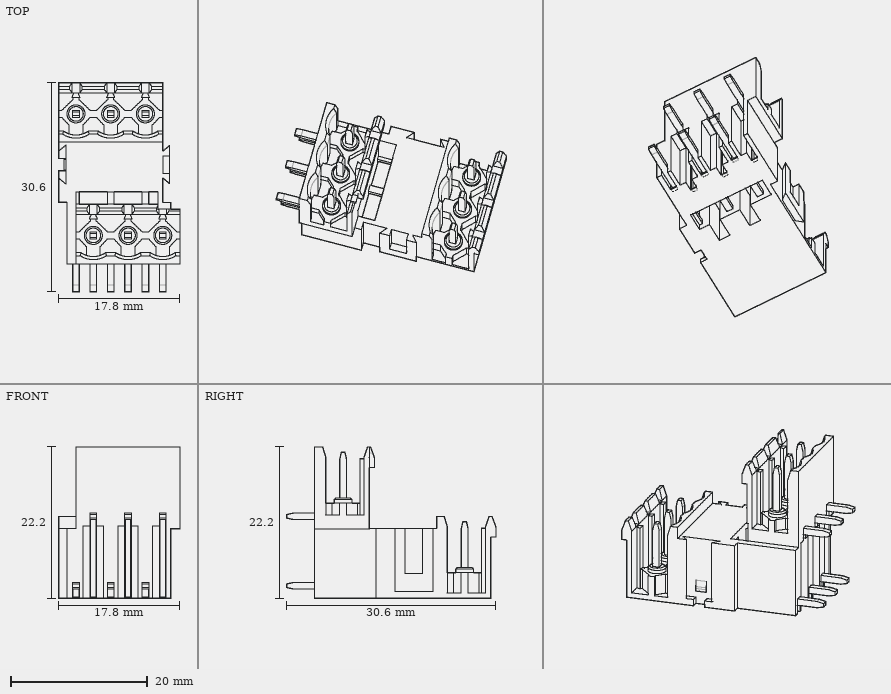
import cadquery as cq


POLES = 3
PITCH = 5.08
HALF_PITCH = PITCH / 2
HEADER_LENGTH = POLES * PITCH
LEVEL_RISE = 2 * PITCH
LEVEL_SETBACK = 3.5 * PITCH
UPPER_X = HALF_PITCH

HEADER_TOP = 12.0
LOWER_FLOOR_Z = 0.8
UPPER_FLOOR_Z = 2.06
BLOCK_TOP = 3.78
BEVEL_Z = 10.47
FRONT_WALL = 1.7
LOWER_FRONT_Y = 0.12
FRONT_LAND = 1.24
REAR_WALL_INNER = 7.25
REAR_WALL_OUTER = 8.05
LATCH_TIP = 8.81
LATCH_BOTTOM = 8.97
LATCH_PEAK = (7.78, 8.24)
PIN_Y = 4.22

SCALLOP_RADIUS = 3.1
SCALLOP_TOP_RADIUS = 3.55
NOTCH_BOTTOM_HALF = 0.56
NOTCH_TOP_HALF = 0.91
RIB_TOP = 10.29
RIB_ROOT_HALF = 0.32
RIB_TIP_HALF = 0.58
RIB_TIP_Y = 6.65
STEM_HALF = 0.42
STEM_END = 2.12
NECK_HALF = 0.5
DIAMOND_HALF = 2.09
FRONT_STEM_HALF = 1.0
FRONT_STEM_START = 1.65
COLLAR_RADIUS = 1.32
COLLAR_TOP = 4.54
COLLAR_CHAMFER = 0.25

PIN_SIZE = 1.0
PIN_TIP_SIZE = 0.55
PIN_TAPER = 1.0
PIN_TOP = 11.25
TAIL_Z = 1.85
TAIL_LENGTH = 4.04

DECK_Z = 10.25
BODY_SHIFT = 1.22
BODY_STEP_Y = 9.06
BODY_RIGHT = 16.42

WELL_FRONT = 7.85
WELL_REAR = 10.57
WELL_TOP = 12.95
WELL_RIGHT = 14.53
UNDERCUT_TOP = 9.3
UNDERCUT_WIDTH = 1.76
UNDERCUT_DEPTH = 3.0

SLOT_WIDTH = 2.95
SLOT_DEPTH = 2.75
SLOT_TOP = 10.57
UPPER_GROOVE_DEPTH = 4.2
LOWER_GROOVE_DEPTH = 2.75
UPPER_RECESS_WIDTH = 0.78
LOWER_RECESS_WIDTH = 0.94
RECESS_DEPTH = 0.5
RECESS_FLOOR = 0.17

DOVETAIL_Y = 14.58
DOVETAIL_DEPTH = 1.06
DOVETAIL_MOUTH_HALF = 1.96
DOVETAIL_INNER_HALF = 2.85
TENON_LENGTH = 0.99
DOVETAIL_FLOOR = 1.0
DRAIN_WIDTH = 1.74
BUMP_WIDTH = 1.62
BUMP_HEIGHT = 0.28
BUMP_RAMP_HEIGHT = 0.26
BUMP_BOTTOM = 2.05
BUMP_CREST = 2.46
BUMP_RAMP_FOOT = 2.76
BUMP_RAMP_TOP = 3.66
TENON_SLOT_WIDTH = 2.56
TENON_SLOT_FLOOR = BUMP_RAMP_TOP


def box(x0, x1, y0, y1, z0, z1):
    """Block between the given limits."""
    return cq.Workplane("XY").box(x1 - x0, y1 - y0, z1 - z0, centered=False).translate((x0, y0, z0))


def along_x(points, x0, x1):
    """Extrude a (Y, Z) outline from x0 to x1."""
    return cq.Workplane("YZ", origin=(x0, 0, 0)).polyline(points).close().extrude(x1 - x0)


def upright(points, z0, z1):
    """Extrude an (X, Y) outline from z0 to z1."""
    return cq.Workplane("XY", origin=(0, 0, z0)).polyline(points).close().extrude(z1 - z0)


def mirrored(points):
    """Complete an outline given on its +X side by its mirror image in X."""
    return points + [(-x, y) for x, y in reversed(points)]


def pole_positions(start_x):
    """Pole X positions of a header whose left end is at start_x."""
    return [start_x + HALF_PITCH + i * PITCH for i in range(POLES)]


def header_shell(front_y, floor_z):
    """Trough with a bevelled front wall and a hooked rear latch wall."""
    return along_x(
        [
            (front_y, 0),
            (REAR_WALL_OUTER, 0),
            (REAR_WALL_OUTER, LATCH_BOTTOM),
            (LATCH_TIP, LATCH_BOTTOM),
            (LATCH_TIP, BEVEL_Z),
            (LATCH_PEAK[1], HEADER_TOP),
            (LATCH_PEAK[0], HEADER_TOP),
            (REAR_WALL_INNER, BEVEL_Z),
            (REAR_WALL_INNER, floor_z),
            (FRONT_WALL, floor_z),
            (FRONT_WALL, BEVEL_Z),
            (FRONT_LAND, HEADER_TOP),
            (front_y, HEADER_TOP),
        ],
        0,
        HEADER_LENGTH,
    )


def scallop(floor_z):
    """Round recess around a pole that widens along the wall bevel."""
    profile = [
        (0, floor_z),
        (SCALLOP_RADIUS, floor_z),
        (SCALLOP_RADIUS, BEVEL_Z),
        (SCALLOP_TOP_RADIUS, HEADER_TOP),
        (0, HEADER_TOP),
    ]
    recess = cq.Workplane("XZ").polyline(profile).close().revolve(360, (0, 0, 0), (0, 1, 0))
    front_half = box(-PITCH, PITCH, -PIN_Y, 0, 0, HEADER_TOP)
    return recess.intersect(front_half).translate((0, PIN_Y, 0))


def latch_notch():
    """Flared gap in the latch crest above a pole."""
    outline = mirrored([(NOTCH_BOTTOM_HALF, BEVEL_Z), (NOTCH_TOP_HALF, HEADER_TOP)])
    length = LATCH_TIP - REAR_WALL_INNER
    return cq.Workplane("XZ", origin=(0, LATCH_TIP, 0)).polyline(outline).close().extrude(length)


def pole_seat(floor_z):
    """Diamond-shaped pedestal with webs to its neighbours and a collar."""
    outline = mirrored(
        [
            (FRONT_STEM_HALF, -SCALLOP_RADIUS),
            (FRONT_STEM_HALF, -FRONT_STEM_START),
            (DIAMOND_HALF, -NECK_HALF),
            (HALF_PITCH, -NECK_HALF),
            (HALF_PITCH, NECK_HALF),
            (DIAMOND_HALF, NECK_HALF),
            (STEM_HALF, STEM_END),
            (STEM_HALF, RIB_TIP_Y - PIN_Y),
        ]
    )
    seat = upright(outline, floor_z, BLOCK_TOP)
    collar = (
        cq.Workplane("XY", origin=(0, 0, BLOCK_TOP))
        .circle(COLLAR_RADIUS)
        .extrude(COLLAR_TOP - BLOCK_TOP)
        .faces(">Z")
        .chamfer(COLLAR_CHAMFER)
    )
    return seat.union(collar).translate((0, PIN_Y, 0))


def rear_rib(floor_z):
    """Flared keying rib on the inside of the latch wall."""
    outline = mirrored([(RIB_ROOT_HALF, REAR_WALL_INNER), (RIB_TIP_HALF, RIB_TIP_Y)])
    return upright(outline, floor_z, RIB_TOP)


def pin(tail_end):
    """Right-angled pin; both ends taper in thickness only."""
    half = PIN_SIZE / 2
    tip_half = PIN_TIP_SIZE / 2
    return along_x(
        [
            (PIN_Y + half, TAIL_Z - half),
            (PIN_Y + half, PIN_TOP - PIN_TAPER),
            (PIN_Y + tip_half, PIN_TOP),
            (PIN_Y - tip_half, PIN_TOP),
            (PIN_Y - half, PIN_TOP - PIN_TAPER),
            (PIN_Y - half, TAIL_Z + half),
            (tail_end + PIN_TAPER, TAIL_Z + half),
            (tail_end, TAIL_Z + tip_half),
            (tail_end, TAIL_Z - tip_half),
            (tail_end + PIN_TAPER, TAIL_Z - half),
        ],
        -half,
        half,
    )


def header(front_y, floor_z):
    """One level of the connector without its pins, its left end at X = 0."""
    shell = header_shell(front_y, floor_z)
    for pole_x in pole_positions(0):
        shell = shell.cut(scallop(floor_z).translate((pole_x, 0, 0)))
        shell = shell.cut(latch_notch().translate((pole_x, 0, 0)))
    for pole_x in pole_positions(0):
        shell = shell.union(pole_seat(floor_z).translate((pole_x, 0, 0)))
        shell = shell.union(rear_rib(floor_z).translate((pole_x, 0, 0)))
    return shell


def dovetail(x0, depth, z0):
    """Dovetail prism that widens towards +X, from x0 and up to the deck."""
    flare = (DOVETAIL_INNER_HALF - DOVETAIL_MOUTH_HALF) * depth / DOVETAIL_DEPTH
    wide = DOVETAIL_MOUTH_HALF + flare
    outline = [
        (x0, DOVETAIL_Y - DOVETAIL_MOUTH_HALF),
        (x0 + depth, DOVETAIL_Y - wide),
        (x0 + depth, DOVETAIL_Y + wide),
        (x0, DOVETAIL_Y + DOVETAIL_MOUTH_HALF),
    ]
    return upright(outline, z0, DECK_Z)


def body():
    """Block under both headers, stepped sideways at its front."""
    body_rear = LEVEL_SETBACK + LOWER_FRONT_Y
    outline = [
        (BODY_SHIFT, 0),
        (BODY_RIGHT, 0),
        (BODY_RIGHT, BODY_STEP_Y),
        (HEADER_LENGTH, BODY_STEP_Y),
        (HEADER_LENGTH, body_rear),
        (0, body_rear),
        (0, BODY_STEP_Y),
        (BODY_SHIFT, BODY_STEP_Y),
    ]
    return upright(outline, 0, DECK_Z)


def well():
    """Opening through the deck, with pockets under the deck behind it."""
    opening = box(UPPER_X, WELL_RIGHT, WELL_FRONT, WELL_REAR, 0, WELL_TOP)
    for pole_x in pole_positions(UPPER_X)[:-1]:
        left = pole_x - UNDERCUT_WIDTH / 2
        pocket = box(left, left + UNDERCUT_WIDTH, WELL_REAR, WELL_REAR + UNDERCUT_DEPTH, 0, UNDERCUT_TOP)
        opening = opening.union(pocket)
    return opening


def trim_latch(upper_header):
    """Remove the latch overhang above the right-hand step of the body."""
    overhang = box(
        WELL_RIGHT,
        UPPER_X + HEADER_LENGTH,
        REAR_WALL_OUTER,
        LATCH_TIP,
        LEVEL_RISE,
        LEVEL_RISE + HEADER_TOP,
    )
    return upper_header.cut(overhang)


def add_dovetails(part):
    """Groove with a snap bump on the left, matching tenon on the right."""
    part = part.cut(dovetail(0, DOVETAIL_DEPTH, DOVETAIL_FLOOR))
    drain_y = DOVETAIL_Y - DRAIN_WIDTH / 2
    part = part.cut(box(0, DOVETAIL_DEPTH, drain_y, drain_y + DRAIN_WIDTH, 0, DOVETAIL_FLOOR))
    bump_outline = [
        (DOVETAIL_DEPTH, BUMP_BOTTOM),
        (DOVETAIL_DEPTH - BUMP_HEIGHT, BUMP_BOTTOM),
        (DOVETAIL_DEPTH - BUMP_HEIGHT, BUMP_CREST),
        (DOVETAIL_DEPTH - BUMP_RAMP_HEIGHT, BUMP_RAMP_FOOT),
        (DOVETAIL_DEPTH, BUMP_RAMP_TOP),
    ]
    bump_rear = DOVETAIL_Y + BUMP_WIDTH / 2
    bump = cq.Workplane("XZ", origin=(0, bump_rear, 0)).polyline(bump_outline).close().extrude(BUMP_WIDTH)
    slot_y = DOVETAIL_Y - TENON_SLOT_WIDTH / 2
    tenon = dovetail(HEADER_LENGTH, TENON_LENGTH, DOVETAIL_FLOOR).cut(
        box(
            HEADER_LENGTH,
            HEADER_LENGTH + TENON_LENGTH,
            slot_y,
            slot_y + TENON_SLOT_WIDTH,
            TENON_SLOT_FLOOR,
            DECK_Z,
        )
    )
    return part.union(bump).union(tenon)


def pin_groove(pole_x, depth, recess_width, top):
    """Groove below a pin tail with a narrower recess in its back wall."""
    half = PIN_SIZE / 2
    half_recess = recess_width / 2
    groove = box(pole_x - half, pole_x + half, 0, depth, 0, top)
    recess_back = depth + RECESS_DEPTH
    recess = box(pole_x - half_recess, pole_x + half_recess, depth, recess_back, RECESS_FLOOR, top)
    return groove.union(recess)


def cut_front_slots(part):
    """Wide slots and narrow pin grooves in the front face, open at the bottom."""
    half = PIN_SIZE / 2
    last_slot_right = pole_positions(UPPER_X)[-1] + half
    for pole_x in pole_positions(UPPER_X):
        left = pole_x - SLOT_WIDTH / 2
        right = min(left + SLOT_WIDTH, last_slot_right)
        part = part.cut(box(left, right, 0, SLOT_DEPTH, 0, SLOT_TOP))
        part = part.cut(pin_groove(pole_x, UPPER_GROOVE_DEPTH, UPPER_RECESS_WIDTH, LEVEL_RISE + TAIL_Z))
    for pole_x in pole_positions(0):
        part = part.cut(pin_groove(pole_x, LOWER_GROOVE_DEPTH, LOWER_RECESS_WIDTH, TAIL_Z))
    return part


def add_pins(part):
    """Pins of both levels; all tails end at the same Y."""
    for pole_x in pole_positions(0):
        lower = pin(-TAIL_LENGTH - LEVEL_SETBACK)
        part = part.union(lower.translate((pole_x, LEVEL_SETBACK, 0)))
    for pole_x in pole_positions(UPPER_X):
        part = part.union(pin(-TAIL_LENGTH).translate((pole_x, 0, LEVEL_RISE)))
    return part


lower_header = header(LOWER_FRONT_Y, LOWER_FLOOR_Z).translate((0, LEVEL_SETBACK, 0))
upper_header = header(0, UPPER_FLOOR_Z).translate((UPPER_X, 0, LEVEL_RISE))
housing = body().union(lower_header).union(trim_latch(upper_header)).cut(well())
housing = cut_front_slots(add_dovetails(housing))
result = add_pins(housing)